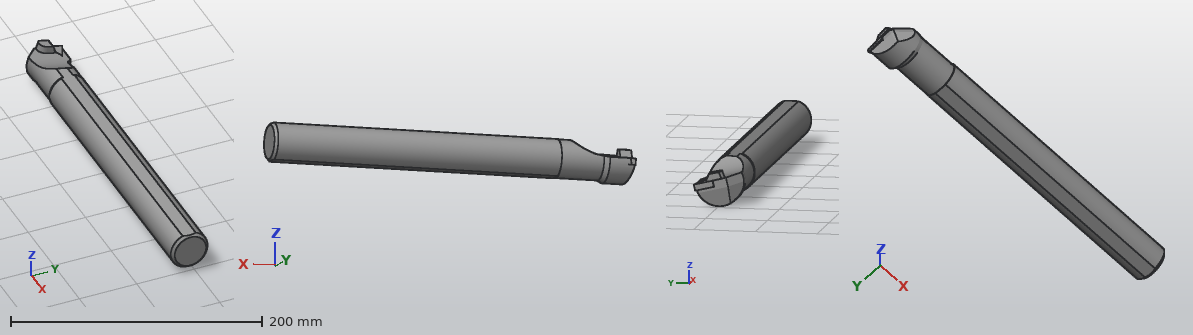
import cadquery as cq

length = 300.0
shank_radius = 32.0 / 2
flat_height = 15.0
shank_start = 60.0
end_chamfer = 2.5

neck_radius = 15.5
neck_offset = 0.3
head_radius = 18.0
head_offset = 2.25
head_end = 21.0
neck_start = 24.5

rake_tilt = 13.5
rake_level = 4.8
scoop_start = 19.0
scoop_radius = 48.0

nose_x = 0.3
nose_outline = [(nose_x, 21.0), (1.5, -2.0), (2.5, -4.8), (13.8, -14.7)]
relief_level = -2.7
relief_angle = 12.5
reach = 90.0

insert_corners = [(0.0, 21.5), (14.5, 15.0), (0.0, 5.7)]
insert_thickness = 5.0

clamp_x = 4.2
clamp_v = 2.7
clamp_radius = 6.0
clamp_front = 11.5
clamp_top_front = 7.8
clamp_height = 5.7
clamp_taper = 6.0


def tilted(body):
    """Turn a body from the tilted frame into the part axes."""
    return body.rotate((0, 0, 0), (1, 0, 0), -rake_tilt)


def rod(start, end, radius, offset):
    """Cylinder along X with its axis at y = offset."""
    base = cq.Workplane("YZ", origin=(start, offset, 0))
    return base.circle(radius).extrude(end - start)


def make_round_bar():
    """Shank, neck and head, with flats on the shank and a flat on top of the neck."""
    shank = rod(shank_start, length, shank_radius, 0).faces(">X").chamfer(end_chamfer)
    shank_flats = cq.Workplane("XY").box(2 * length, reach, 2 * flat_height)
    neck = rod(neck_start, shank_start, neck_radius, neck_offset)
    neck_top = cq.Workplane("XY", origin=(0, 0, flat_height)).rect(2 * length, reach).extrude(reach)
    step = (
        cq.Workplane("YZ", origin=(head_end, head_offset, 0))
        .circle(head_radius)
        .workplane(offset=neck_start - head_end)
        .center(neck_offset - head_offset, 0)
        .circle(neck_radius)
        .loft()
    )
    head = rod(0, head_end, head_radius, head_offset)
    return shank.intersect(shank_flats).union(neck.cut(neck_top)).union(step).union(head)


def make_nose_envelope():
    """Space left by the nose faces: square to the rake plane, then relieved below."""
    chamfer_start, chamfer_end = nose_outline[-2:]
    slope = (chamfer_end[1] - chamfer_start[1]) / (chamfer_end[0] - chamfer_start[0])
    far_x = chamfer_end[0] + reach
    far_v = chamfer_end[1] + slope * reach
    outline = [(nose_x, reach), *nose_outline, (far_x, far_v), (2 * length, far_v), (2 * length, reach)]
    base = cq.Workplane("XY", origin=(0, 0, relief_level))
    upper = base.polyline(outline).close().extrude(reach)
    lower = base.polyline(outline).close().extrude(-head_radius, taper=relief_angle)
    return tilted(upper.union(lower))


def make_scoop():
    """Material removed above the rake plane, running out in a tangent arc."""
    profile = (
        cq.Workplane("XZ", origin=(0, reach, 0))
        .moveTo(-reach, rake_level)
        .lineTo(scoop_start, rake_level)
        .radiusArc((scoop_start + scoop_radius, rake_level + scoop_radius), -scoop_radius)
        .lineTo(-reach, rake_level + scoop_radius)
        .close()
    )
    return tilted(profile.extrude(2 * reach))


def make_clamp():
    """Tapered round-ended clamp on the rake plane, cut flat at x = 0 and sloping down over the insert."""
    base = cq.Workplane("XY", origin=(0, 0, rake_level))
    clamp = (
        base.moveTo(clamp_x - clamp_radius, reach)
        .lineTo(clamp_x - clamp_radius, clamp_v)
        .threePointArc((clamp_x, clamp_v - clamp_radius), (clamp_x + clamp_radius, clamp_v))
        .lineTo(clamp_x + clamp_radius, reach)
        .close()
        .extrude(clamp_height, taper=clamp_taper)
    )
    sloped_front = (
        cq.Workplane("YZ")
        .moveTo(-reach, rake_level)
        .lineTo(clamp_front, rake_level)
        .lineTo(clamp_top_front, rake_level + clamp_height)
        .lineTo(-reach, rake_level + clamp_height)
        .close()
        .extrude(reach)
    )
    return tilted(clamp.intersect(sloped_front))


def make_insert():
    """Triangular cutting insert with its top on the rake plane."""
    plan = cq.Workplane("XY", origin=(0, 0, rake_level)).polyline(insert_corners).close()
    return tilted(plan.extrude(-insert_thickness))


insert = make_insert()
holder = make_round_bar().intersect(make_nose_envelope()).cut(make_scoop()).union(make_clamp()).cut(insert)

result = cq.Compound.makeCompound([holder.val(), insert.val()])